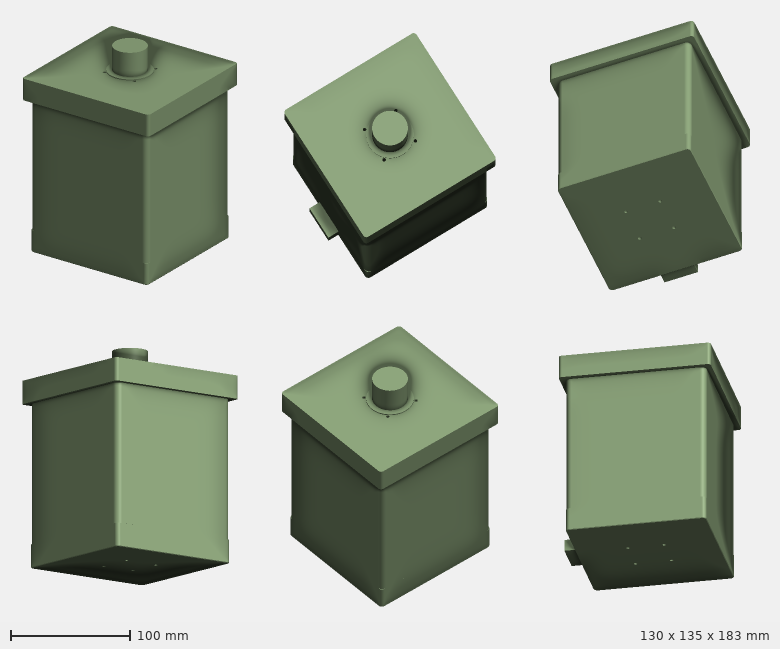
import cadquery as cq

total_height = 183.0

body_width = 120.0
base_height = 20.0
base_corner_radius = 3.5
base_bottom_chamfer = 0.5

housing_height = 120.0
housing_corner_radius = 5.0

cap_width = 130.0
cap_height = 20.0
cap_corner_radius = 3.0

flange_diameter = 40.0
flange_height = 1.0
boss_diameter = 30.0

plug_width = 30.0
plug_height = 10.0
plug_reach = 10.0
plug_bottom = 3.0

screw_hole_diameter = 3.0
screw_hole_pitch = 31.0

housing_bottom = base_height
cap_bottom = housing_bottom + housing_height
cap_top = cap_bottom + cap_height


def rounded_block(width, height, corner_radius, bottom):
    """Square block with rounded vertical edges, its underside at the given level."""
    block = cq.Workplane("XY", origin=(0, 0, bottom)).rect(width, width).extrude(height)
    return block.edges("|Z").fillet(corner_radius)


def upright_cylinder(diameter, bottom, top):
    """Cylinder on the Z axis between two levels."""
    return cq.Workplane("XY", origin=(0, 0, bottom)).circle(diameter / 2).extrude(top - bottom)


def drill_screw_holes(body):
    """Cut the four screw holes, which run the full height of the stack."""
    holes = (
        cq.Workplane("XY")
        .rect(screw_hole_pitch, screw_hole_pitch, forConstruction=True)
        .vertices()
        .circle(screw_hole_diameter / 2)
        .extrude(total_height)
    )
    return body.cut(holes)


def make_base():
    """Base block with a chamfered lower rim and a plug on its +Y side."""
    block = rounded_block(body_width, base_height, base_corner_radius, 0)
    block = block.faces("<Z").chamfer(base_bottom_chamfer)
    plug = cq.Workplane("XY", origin=(0, 0, plug_bottom)).box(
        plug_width, body_width / 2 + plug_reach, plug_height, centered=(True, False, False)
    )
    return drill_screw_holes(block.union(plug))


def make_housing():
    """Main block between the base and the cap."""
    block = rounded_block(body_width, housing_height, housing_corner_radius, housing_bottom)
    return drill_screw_holes(block)


def make_cap():
    """Overhanging cap that carries a thin flange and a round boss."""
    block = rounded_block(cap_width, cap_height, cap_corner_radius, cap_bottom)
    flange = upright_cylinder(flange_diameter, cap_top, cap_top + flange_height)
    boss = upright_cylinder(boss_diameter, cap_top, total_height)
    return drill_screw_holes(block).union(flange).union(boss)


base = make_base()
housing = make_housing()
cap = make_cap()

result = cq.Compound.makeCompound([base.val(), housing.val(), cap.val()])